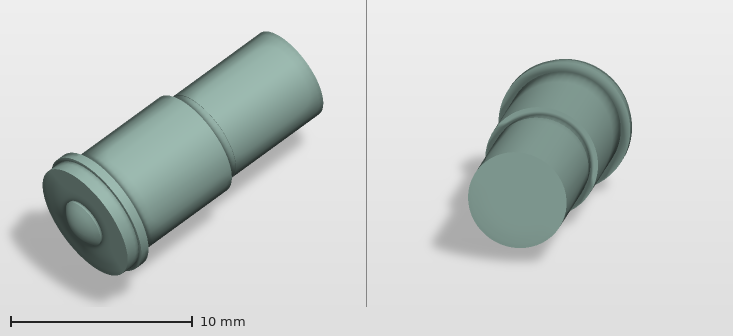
import cadquery as cq

total_length = 15.98

button_radius = 1.42
button_rim_height = 0.15
button_cap_height = 0.6
button_seat_depth = 0.8

front_rim_radius = 3.48
flange_radius = 7.4 / 2
body_radius = 3.16
neck_radius = 2.73
tail_radius = 2.76

front_rim_length = 0.83
flange_length = 0.53
body_length = 6.7
neck_length = 0.67
housing_length = total_length - button_rim_height - button_cap_height
tail_length = housing_length - front_rim_length - flange_length - body_length - neck_length


def cylinder_along_y(radius, start, length):
    """Solid cylinder on the Y axis, running from start toward +Y."""
    return cq.Workplane("XZ", origin=(0, start, 0)).circle(radius).extrude(-length)


def make_housing():
    """Stepped round housing with a blind recess in its front face."""
    sections = [
        (front_rim_radius, front_rim_length),
        (flange_radius, flange_length),
        (body_radius, body_length),
        (neck_radius, neck_length),
        (tail_radius, tail_length),
    ]
    housing = cq.Workplane("XZ")
    start = 0.0
    for radius, length in sections:
        housing = housing.union(cylinder_along_y(radius, start, length))
        start += length
    recess = cylinder_along_y(button_radius, 0.0, button_seat_depth)
    return housing.cut(recess)


def make_button():
    """Domed button that fills the housing recess."""
    cap_base = -button_rim_height
    tip = cap_base - button_cap_height
    cap_radius = (button_radius**2 + button_cap_height**2) / (2 * button_cap_height)
    half_radius = button_radius / 2
    sphere_center = tip + cap_radius
    arc_middle = sphere_center - (cap_radius**2 - half_radius**2) ** 0.5
    return (
        cq.Workplane("XY")
        .moveTo(0, button_seat_depth)
        .lineTo(button_radius, button_seat_depth)
        .lineTo(button_radius, cap_base)
        .threePointArc((half_radius, arc_middle), (0, tip))
        .close()
        .revolve(360, (0, 0, 0), (0, 1, 0))
    )


housing = make_housing()
button = make_button()
result = cq.Compound.makeCompound([housing.val(), button.val()])